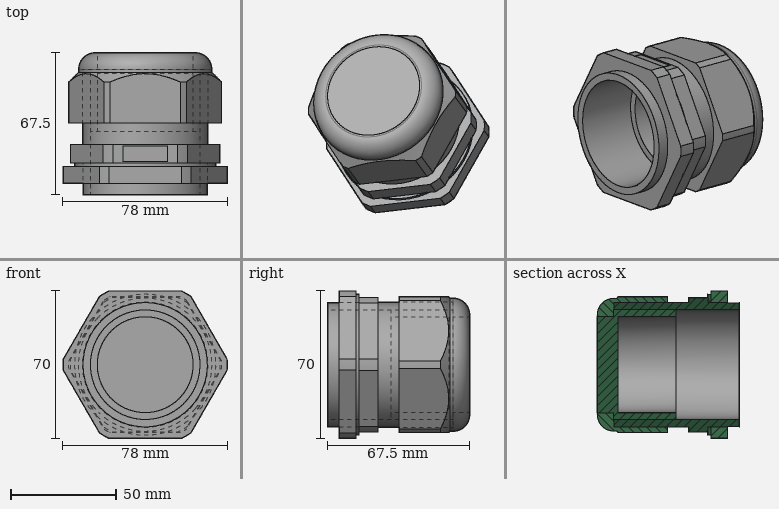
import cadquery as cq


HEX_SIDES = 6

THREAD_DIAMETER = 59.0
NECK_DIAMETER = 59.5
BORE_DIAMETER = 52.0
BODY_HEX_FLATS = 64.0
BODY_HEX_CORNERS = 71.0
BODY_HEX_LENGTH = 9.0

PANEL_LENGTH = 21.0
PANEL_WIDTH = 7.5
PANEL_DEPTH = 0.2

LOCKNUT_FLATS = 70.0
LOCKNUT_CORNERS = 78.0
LOCKNUT_LENGTH = 8.0
WASHER_DIAMETER = 67.0
WASHER_THICKNESS = 1.5

CAP_HEX_FLATS = 64.5
CAP_HEX_CORNERS = 72.6
CAP_HEX_LENGTH = 19.5
CAP_CHAMFER_LENGTH = 4.6
CAP_CROWN_DIAMETER = 63.3
CAP_CROWN_BAND = 1.4
CAP_DOME_RADIUS = 8.0

SEAL_BORE_DIAMETER = 45.5
SEAL_FLOOR_INSET = 2.0

LOCKNUT_START = 5.5
WASHER_START = LOCKNUT_START + LOCKNUT_LENGTH
BODY_HEX_START = WASHER_START + WASHER_THICKNESS
NECK_START = BODY_HEX_START + BODY_HEX_LENGTH
SEAL_START = 30.0
CAP_START = 34.0
CAP_CHAMFER_START = CAP_START + CAP_HEX_LENGTH
CROWN_START = CAP_CHAMFER_START + CAP_CHAMFER_LENGTH
DOME_START = CROWN_START + CAP_CROWN_BAND
CAP_END = DOME_START + CAP_DOME_RADIUS
BODY_END = DOME_START


def plane_at(y):
    """Plane square to the gland axis, with its normal along +Y and its local x along +Z."""
    return cq.Workplane(cq.Plane((0, y, 0), xDir=(0, 0, 1), normal=(0, 1, 0)))


def cylinder(diameter, start, end):
    """Round bar on the gland axis."""
    return plane_at(start).circle(diameter / 2).extrude(end - start)


def hexagon(flats, corners, start, end):
    """Hexagonal bar with flats facing +Z and -Z and its corners turned to a diameter."""
    bar = plane_at(start).polygon(HEX_SIDES, flats, circumscribed=True).extrude(end - start)
    return bar.intersect(cylinder(corners, start, end))


def make_locknut():
    nut = hexagon(LOCKNUT_FLATS, LOCKNUT_CORNERS, LOCKNUT_START, WASHER_START)
    return nut.cut(cylinder(THREAD_DIAMETER, LOCKNUT_START, WASHER_START))


def make_washer():
    disc = cylinder(WASHER_DIAMETER, WASHER_START, BODY_HEX_START)
    return disc.cut(cylinder(THREAD_DIAMETER, WASHER_START, BODY_HEX_START))


def make_body():
    thread = cylinder(THREAD_DIAMETER, 0, BODY_HEX_START)
    grip = hexagon(BODY_HEX_FLATS, BODY_HEX_CORNERS, BODY_HEX_START, NECK_START)
    neck = cylinder(NECK_DIAMETER, NECK_START, BODY_END)
    panel_center = (0, BODY_HEX_START + BODY_HEX_LENGTH / 2, BODY_HEX_FLATS / 2)
    panel = (
        cq.Workplane("XY", origin=panel_center)
        .rect(PANEL_LENGTH, PANEL_WIDTH)
        .extrude(-PANEL_DEPTH)
    )
    bore = cylinder(BORE_DIAMETER, 0, BODY_END)
    return thread.union(grip).union(neck).cut(panel).cut(bore)


def make_cap():
    """Hexagonal nut turned to a cone, a short round band and a domed end."""
    hex_radius = CAP_HEX_CORNERS / 2
    crown_radius = CAP_CROWN_DIAMETER / 2
    turned_shape = (
        cq.Workplane("XY")
        .moveTo(0, CAP_START)
        .lineTo(hex_radius, CAP_START)
        .lineTo(hex_radius, CAP_CHAMFER_START)
        .lineTo(crown_radius, CROWN_START)
        .lineTo(crown_radius, DOME_START)
        .radiusArc((crown_radius - CAP_DOME_RADIUS, CAP_END), -CAP_DOME_RADIUS)
        .lineTo(0, CAP_END)
        .close()
        .revolve(360, (0, 0), (0, 1))
    )
    bar = hexagon(CAP_HEX_FLATS, CAP_HEX_CORNERS, CAP_START, CAP_END)
    neck_socket = cylinder(NECK_DIAMETER, CAP_START, BODY_END)
    opening = cylinder(SEAL_BORE_DIAMETER, BODY_END, CAP_END)
    return bar.intersect(turned_shape).cut(neck_socket).cut(opening)


def make_seal():
    """Sleeve in the body bore, closed by a plug that fills the cap opening."""
    sleeve = cylinder(BORE_DIAMETER, SEAL_START, BODY_END)
    sleeve = sleeve.cut(cylinder(SEAL_BORE_DIAMETER, SEAL_START, BODY_END))
    plug = cylinder(SEAL_BORE_DIAMETER, BODY_END - SEAL_FLOOR_INSET, CAP_END)
    return sleeve.union(plug)


locknut = make_locknut()
washer = make_washer()
body = make_body()
cap = make_cap()
seal = make_seal()

result = cq.Compound.makeCompound([locknut.val(), washer.val(), body.val(), cap.val(), seal.val()])